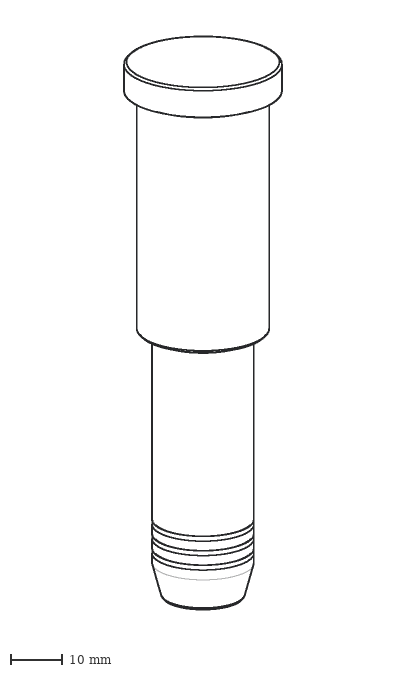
import cadquery as cq
import math

total_length = 111.0
head_height = 6.0
head_to_shank_end = 55.9
taper_height = 7.0

head_radius = 15.48
shank_radius = 13.0
pin_radius = 10.0

taper_angle = 15.0

head_chamfer = 0.5
shank_chamfer = 0.5
tip_chamfer_height = 0.5
tip_chamfer_width = 0.39

groove_radius = 0.5
relief_width = 2 * groove_radius
relief_depth = 0.5
ring_pitch = 3.0
ring_count = 3
first_ring_height = taper_height + ring_pitch - groove_radius

head_bottom = total_length - head_height
shank_bottom = total_length - head_to_shank_end
relief_bottom = shank_bottom - relief_width

tip_radius = pin_radius - (taper_height - tip_chamfer_height) * math.tan(math.radians(taper_angle))


def cylinder(radius, bottom, top):
    """Solid cylinder on the Z axis between two heights."""
    return cq.Workplane("XY").workplane(offset=bottom).circle(radius).extrude(top - bottom)


def round_groove(surface_radius, middle):
    """Torus centred on a cylinder surface, which cuts a half-round groove at a height."""
    return cq.Workplane(cq.Solid.makeTorus(surface_radius, groove_radius, cq.Vector(0, 0, middle)))


head = cylinder(head_radius, head_bottom, total_length).faces(">Z").edges().chamfer(head_chamfer)

shank = cylinder(shank_radius, shank_bottom, head_bottom).faces("<Z").edges().chamfer(shank_chamfer)
shank = shank.cut(round_groove(shank_radius, head_bottom - groove_radius))

pin = (
    cq.Workplane("XZ")
    .lineTo(tip_radius - tip_chamfer_width, 0)
    .lineTo(tip_radius, tip_chamfer_height)
    .lineTo(pin_radius, taper_height)
    .lineTo(pin_radius, relief_bottom)
    .lineTo(pin_radius - relief_depth, relief_bottom)
    .lineTo(pin_radius - relief_depth, shank_bottom)
    .lineTo(0, shank_bottom)
    .close()
    .revolve(360, (0, 0, 0), (0, 1, 0))
)

for index in range(ring_count):
    pin = pin.cut(round_groove(pin_radius, first_ring_height + index * ring_pitch))

result = head.union(shank).union(pin)